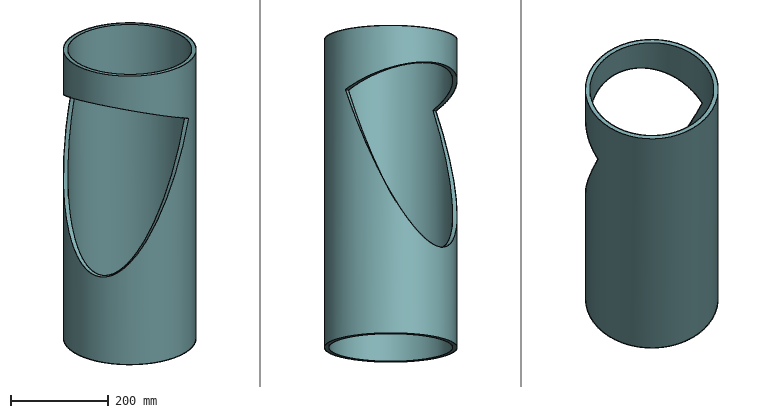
import cadquery as cq
import math

outer_diameter = 273.05
inner_diameter = 254.51
pipe_length = 647.7
apex_below_top = 127.0
upper_face_tilt = 22.5
notch_angle = 90.0
cutter_overlap = 5.0

outer_radius = outer_diameter / 2
inner_radius = inner_diameter / 2
apex_z = pipe_length - apex_below_top
lower_face_tilt = notch_angle - upper_face_tilt

upper_rise = outer_radius * math.tan(math.radians(upper_face_tilt))
lower_drop = outer_radius * math.tan(math.radians(lower_face_tilt))


def make_pipe():
    """Straight round pipe standing on the XY plane, centred on Z."""
    return (
        cq.Workplane("XY")
        .circle(outer_radius)
        .circle(inner_radius)
        .extrude(pipe_length)
    )


def notch_edge(radius, height):
    """Half ellipse around the -Y side of a cylinder, `height` above the apexes at its middle."""
    across = cq.Vector(1, 0, 0)
    along = cq.Vector(0, -radius, height)
    return cq.Edge.makeEllipse(
        along.Length,
        radius,
        cq.Vector(0, 0, apex_z),
        along.cross(across),
        along,
        angle1=-90,
        angle2=90,
    )


def make_notch():
    """Notch cutter whose upper and lower faces run level and radially through the wall."""
    near_radius = inner_radius - cutter_overlap
    far_radius = outer_radius + cutter_overlap
    near_upper = notch_edge(near_radius, upper_rise)
    near_lower = notch_edge(near_radius, -lower_drop)
    far_upper = notch_edge(far_radius, upper_rise)
    far_lower = notch_edge(far_radius, -lower_drop)
    edge_pairs = [
        (near_upper, far_upper),
        (near_lower, far_lower),
        (near_upper, near_lower),
        (far_upper, far_lower),
    ]
    faces = [cq.Face.makeRuledSurface(first, second) for first, second in edge_pairs]
    cutter = cq.Solid.makeSolid(cq.Shell.makeShell(faces))
    return cutter.fix()


result = make_pipe().cut(cq.Workplane(make_notch()))